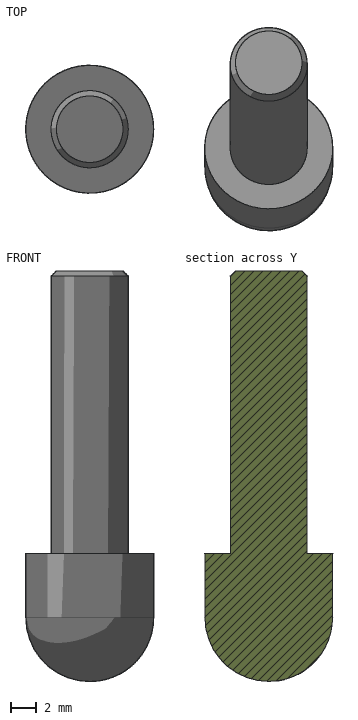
import cadquery as cq

total_length = 32.0
head_diameter = 10.0
head_height = 10.0
shank_diameter = 6.0
tip_chamfer = 0.4

head_radius = head_diameter / 2
shank_length = total_length - head_height


def make_head():
    """Cylinder with a hemispherical lower end, resting on Z = 0."""
    blank = cq.Workplane("XY").circle(head_radius).extrude(head_height - head_radius)
    dome = cq.Workplane("XY").sphere(head_radius)
    return blank.union(dome).translate((0, 0, head_radius))


def make_shank():
    """Plain round shank rising from the head, chamfered at its free end."""
    shank = cq.Workplane("XY").workplane(offset=head_height)
    shank = shank.circle(shank_diameter / 2).extrude(shank_length)
    return shank.faces(">Z").chamfer(tip_chamfer)


result = make_head().union(make_shank())